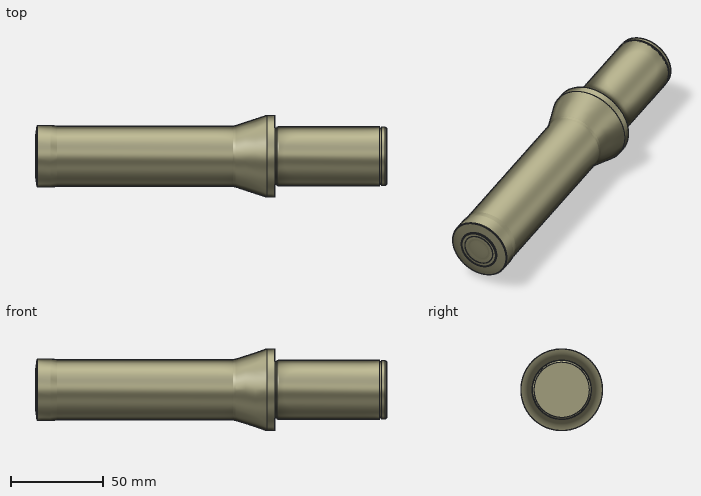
import cadquery as cq

length = 189.0

face_drop = 0.8
nose_d = 33.3
nose_chamfer = 0.4
nose_end = 8.3
nose_taper_end = 11.7

barrel_d = 32.5
flare_start = 106.2
flare_blend_end = 107.7
flare_blend_d = 33.0
collar_d = 44.0
collar_start = 124.4
collar_end = 128.7
collar_edge = 0.5
collar_edge_drop = 0.2

shank_d = 32.0
neck_length = 1.1
shank_lead = 1.3
relief_d = 31.5
groove_start = 185.0
groove_d = 30.6
groove_width = 1.0
tail_chamfer = 1.0

plug_d = 21.5
plug_chamfer = 0.5
plug_length = 8.0
recess_d = 17.0
recess_depth = 0.2
dimple_d = 13.6
dimple_floor_d = 11.3
dimple_depth = 0.2


def revolve_about_x(points):
    """Turn a closed (x, radius) outline about the X axis."""
    return cq.Workplane("XY").polyline(points).close().revolve(360, (0, 0, 0), (1, 0, 0))


def make_sleeve():
    """Barrel with flared collar and shank, bored at the front for the plug."""
    neck_end = collar_end + neck_length
    groove_end = groove_start + groove_width
    return revolve_about_x([
        (plug_length, 0),
        (plug_length, plug_d / 2),
        (0, plug_d / 2),
        (face_drop, nose_d / 2 - nose_chamfer),
        (face_drop + nose_chamfer, nose_d / 2),
        (nose_end, nose_d / 2),
        (nose_taper_end, barrel_d / 2),
        (flare_start, barrel_d / 2),
        (flare_blend_end, flare_blend_d / 2),
        (collar_start - collar_edge, collar_d / 2 - collar_edge_drop),
        (collar_start, collar_d / 2),
        (collar_end, collar_d / 2),
        (collar_end, groove_d / 2),
        (neck_end, groove_d / 2),
        (neck_end, relief_d / 2),
        (neck_end + shank_lead, shank_d / 2),
        (groove_start, shank_d / 2),
        (groove_start, groove_d / 2),
        (groove_end, groove_d / 2),
        (groove_end, relief_d / 2),
        (length - tail_chamfer, relief_d / 2),
        (length, relief_d / 2 - tail_chamfer),
        (length, 0),
    ])


def make_plug():
    """Plug seated in the nose, with a stepped recess in its front face."""
    dimple_floor = recess_depth + dimple_depth
    return revolve_about_x([
        (dimple_floor, 0),
        (dimple_floor, dimple_floor_d / 2),
        (recess_depth, dimple_d / 2),
        (recess_depth, recess_d / 2),
        (0, recess_d / 2),
        (0, plug_d / 2 - plug_chamfer),
        (plug_chamfer, plug_d / 2),
        (plug_length, plug_d / 2),
        (plug_length, 0),
    ])


sleeve = make_sleeve()
plug = make_plug()

result = cq.Compound.makeCompound([sleeve.val(), plug.val()])